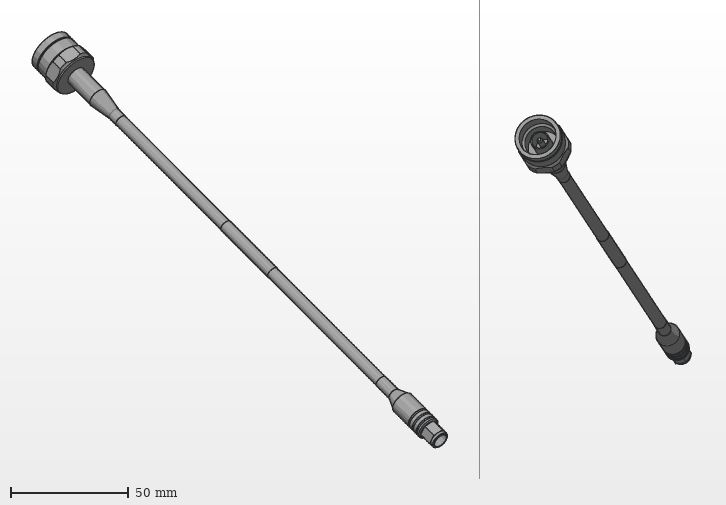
import cadquery as cq
import math

total_length = 268.5

nut_length = 17.7
collar_radius = 10.0
collar_groove_start = 3.5
collar_groove_width = 0.5
collar_groove_depth = 0.3
hex_start = 9.7
hex_across_flats = 20.7
hex_corner_radius = 11.0
hex_chamfer = 1.0
rim_thickness = 0.8
mouth_radius = 8.0
mouth_depth = 5.5
mouth_cone_length = 0.8
bore_radius = 7.0
rear_wall = 2.7
bore_end = nut_length - rear_wall

flange_thickness = 2.7
sleeve_start = 4.0
sleeve_radius = 4.0
sleeve_bore_radius = 3.5
pin_start = 3.2
pin_radius = 1.2
pin_tip_radius = 0.67
pin_tip_length = 1.0

ferrule_radius = 4.43
ferrule_end = 32.7

cable_radius = 2.7
cable_sleeve_radius = 2.82
boot_start_radius = 4.5
boot_cone_end = 44.0
boot_end = 48.5
marker_start = 120.8
marker_end = 153.0
relief_start = 227.5

grip_start = 236.5
grip_shoulder_start = 241.5
grip_shoulder_radius = 4.8
grip_shoulder_chamfer = 0.5
grip_radius = 5.23
grip_end = 260.5
grip_end_chamfer = 0.5
grip_groove_count = 3
grip_groove_first = 252.8
grip_groove_pitch = 2.7
grip_groove_width = 0.8
grip_groove_depth = 0.13

small_hex_end = 266.8
small_hex_across_flats = 8.0
small_nut_tip_radius = small_hex_across_flats / 2
small_nut_tip_chamfer = 0.3
small_nut_bore_radius = 3.2


def turned(points):
    """Solid of revolution about the X axis from a closed list of (x, radius) points."""
    return cq.Workplane("XZ").polyline(points).close().revolve(360, (0, 0, 0), (1, 0, 0))


def cylinder(start, end, radius):
    return cq.Workplane("YZ").workplane(offset=start).circle(radius).extrude(end - start)


def tube(start, end, outer_radius, inner_radius):
    return cylinder(start, end, outer_radius).cut(cylinder(start, end, inner_radius))


def hex_prism(start, end, across_flats):
    """Hexagonal prism along X with flats facing +Z and -Z."""
    corner_diameter = across_flats / math.cos(math.pi / 6)
    return cq.Workplane("YZ").workplane(offset=start).polygon(6, corner_diameter).extrude(end - start)


def make_coupling_nut():
    hex_end = nut_length - rim_thickness
    hex_limit = turned([
        (hex_start, 0),
        (hex_start, collar_radius),
        (hex_start + hex_chamfer, hex_corner_radius),
        (hex_end - hex_chamfer, hex_corner_radius),
        (hex_end, collar_radius),
        (hex_end, 0),
    ])
    hexagon = hex_prism(hex_start, hex_end, hex_across_flats).intersect(hex_limit)
    nut = cylinder(0, nut_length, collar_radius).union(hexagon)
    groove_end = collar_groove_start + collar_groove_width
    groove = tube(collar_groove_start, groove_end, hex_corner_radius, collar_radius - collar_groove_depth)
    bore = turned([
        (0, 0),
        (0, mouth_radius),
        (mouth_depth, mouth_radius),
        (mouth_depth + mouth_cone_length, bore_radius),
        (bore_end, bore_radius),
        (bore_end, ferrule_radius),
        (nut_length, ferrule_radius),
        (nut_length, 0),
    ])
    return nut.cut(groove).cut(bore)


def make_connector_body():
    flange = cylinder(bore_end - flange_thickness, bore_end, bore_radius)
    sleeve = tube(sleeve_start, bore_end - flange_thickness, sleeve_radius, sleeve_bore_radius)
    return flange.union(sleeve)


def make_contact_pin():
    pin_end = bore_end - flange_thickness
    return turned([
        (pin_start, 0),
        (pin_start, pin_tip_radius),
        (pin_start + pin_tip_length, pin_radius),
        (pin_end, pin_radius),
        (pin_end, 0),
    ])


def make_ferrule():
    return cylinder(bore_end, ferrule_end, ferrule_radius)


def make_cable():
    return cylinder(ferrule_end, grip_start, cable_radius)


def make_boot():
    """Tapered strain relief on the cable, ending in a short straight sleeve."""
    return turned([
        (ferrule_end, cable_radius),
        (ferrule_end, boot_start_radius),
        (boot_cone_end, cable_sleeve_radius),
        (boot_end, cable_sleeve_radius),
        (boot_end, cable_radius),
    ])


def make_cable_sleeve(start, end):
    return tube(start, end, cable_sleeve_radius, cable_radius)


def make_grip():
    """Grip with a cone behind it, chamfered ends and shallow ring grooves."""
    grip = turned([
        (grip_start, 0),
        (grip_start, cable_sleeve_radius),
        (grip_shoulder_start, grip_shoulder_radius),
        (grip_shoulder_start + grip_shoulder_chamfer, grip_radius),
        (grip_end - grip_end_chamfer, grip_radius),
        (grip_end, grip_radius - grip_end_chamfer),
        (grip_end, 0),
    ])
    for index in range(grip_groove_count):
        start = grip_groove_first + index * grip_groove_pitch
        grip = grip.cut(tube(start, start + grip_groove_width, grip_radius, grip_radius - grip_groove_depth))
    return grip


def make_small_nut():
    hexagon = hex_prism(grip_end, small_hex_end, small_hex_across_flats)
    tip = cylinder(small_hex_end, total_length, small_nut_tip_radius)
    tip = tip.faces(">X").chamfer(small_nut_tip_chamfer)
    bore = cylinder(grip_end, total_length, small_nut_bore_radius)
    return hexagon.union(tip).cut(bore)


coupling_nut = make_coupling_nut()
connector_body = make_connector_body()
contact_pin = make_contact_pin()
ferrule = make_ferrule()
boot = make_boot()
cable = make_cable()
marker = make_cable_sleeve(marker_start, marker_end)
relief = make_cable_sleeve(relief_start, grip_start)
grip = make_grip()
small_nut = make_small_nut()

result = cq.Compound.makeCompound([
    coupling_nut.val(),
    connector_body.val(),
    contact_pin.val(),
    ferrule.val(),
    boot.val(),
    cable.val(),
    marker.val(),
    relief.val(),
    grip.val(),
    small_nut.val(),
])